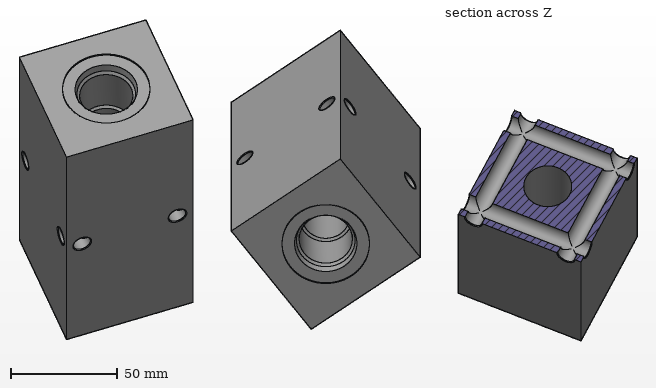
import cadquery as cq
import math

height = 139.7
width = 63.5

passage_diameter = 22.4
thread_diameter = 25.0
spotface_diameter = 41.1
spotface_depth = 0.8
mouth_diameter = 29.3
seat_diameter = 27.5
seat_depth = 3.4
thread_depth = 28.0
drill_tip_angle = 118.0

cross_hole_diameter = 8.5
countersink_diameter = 9.4
cross_hole_offset = 23.9


def port_cutter():
    """Solid of revolution about Z that cuts the port in the top face."""
    passage_radius = passage_diameter / 2
    thread_radius = thread_diameter / 2
    seat_radius = seat_diameter / 2
    spotface_radius = spotface_diameter / 2

    top = height / 2
    mouth_z = top - spotface_depth
    seat_z = mouth_z - seat_depth
    thread_start_z = seat_z - (seat_radius - thread_radius)
    thread_end_z = mouth_z - thread_depth
    half_tip_angle = math.radians(drill_tip_angle / 2)
    tip_end_z = thread_end_z - (thread_radius - passage_radius) / math.tan(half_tip_angle)

    profile = [
        (0, top),
        (spotface_radius, top),
        (spotface_radius, mouth_z),
        (mouth_diameter / 2, mouth_z),
        (seat_radius, seat_z),
        (thread_radius, thread_start_z),
        (thread_radius, thread_end_z),
        (passage_radius, tip_end_z),
        (0, tip_end_z),
    ]
    return cq.Workplane("XZ").polyline(profile).close().revolve(360, (0, 0), (0, 1))


def cross_hole_cutter():
    """Hole along Y through the block, with a 45 degree countersink at each end."""
    hole_radius = cross_hole_diameter / 2
    countersink_radius = countersink_diameter / 2
    face = width / 2
    countersink_start = face - (countersink_radius - hole_radius)

    profile = [
        (0, -face),
        (countersink_radius, -face),
        (hole_radius, -countersink_start),
        (hole_radius, countersink_start),
        (countersink_radius, face),
        (0, face),
    ]
    return cq.Workplane("XY").polyline(profile).close().revolve(360, (0, 0), (0, 1))


result = cq.Workplane("XY").box(width, width, height)

result = result.cut(cq.Workplane("XY").cylinder(height, passage_diameter / 2))
port = port_cutter()
result = result.cut(port).cut(port.mirror("XY"))

for side in (-1, 1):
    hole = cross_hole_cutter().translate((side * cross_hole_offset, 0, 0))
    result = result.cut(hole)
    result = result.cut(hole.rotate((0, 0, 0), (0, 0, 1), 90))